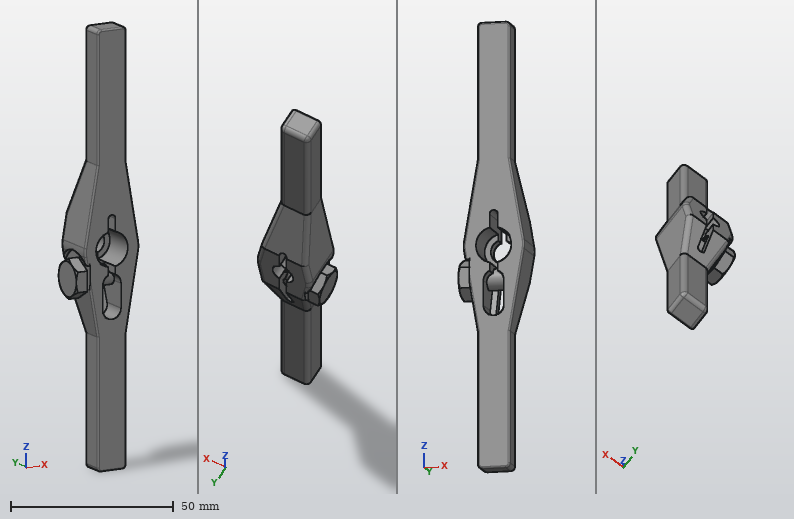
import cadquery as cq
import math

length = 139.7
bar_width = 10.2
bar_thickness = 8.4
hub_width = 19.3
hub_thickness = 15.2
hub_reach = 27.1
hub_flat_reach = 9.5
hub_crown_radius = 8.4
corner_radius = 1.4
back_fillet = 1.7
front_fillet = 0.5

bore_radius = 3.6
counterbore_radius = 5.6
counterbore_depth = 11.2

slot_width = 2.5
slot_top = 10.9
slot_bottom = -22.1
pocket_width = 6.4
pocket_top = -7.8
pocket_wall = 2.8

bolt_y = 7.3
bolt_z = -hub_flat_reach
shank_radius = 3.4
head_across_flats = 11.2
head_x = -11.6
seat_x = -7.7
seat_radius = 9.0
head_chamfer_height = 0.5

EXTRA = 7.0


def extrude_outline():
    """Diamond outline of the bar and hub, extruded along Y, with rounded crowns."""
    half_bar = bar_width / 2
    half_length = length / 2
    taper_angle = math.atan((hub_width - bar_width) / 2 / hub_reach)
    crown_loss = hub_crown_radius * (1 / math.cos(taper_angle) - 1)
    apex = hub_width / 2 + crown_loss
    crown_edges = cq.selectors.BoxSelector(
        (-hub_width, 0, -EXTRA), (hub_width, hub_thickness, EXTRA)
    )
    return (
        cq.Workplane("XZ")
        .polyline([
            (half_bar, half_length), (half_bar, hub_reach), (apex, 0),
            (half_bar, -hub_reach), (half_bar, -half_length),
            (-half_bar, -half_length), (-half_bar, -hub_reach), (-apex, 0),
            (-half_bar, hub_reach), (-half_bar, half_length),
        ])
        .close()
        .extrude(-hub_thickness)
        .edges("|Y").edges(crown_edges).fillet(hub_crown_radius)
    )


def extrude_profile():
    """Side profile with the sloping back of the hub, extruded along X."""
    half_length = length / 2
    return (
        cq.Workplane("YZ")
        .polyline([
            (0, half_length), (bar_thickness, half_length), (bar_thickness, hub_reach),
            (hub_thickness, hub_flat_reach), (hub_thickness, -hub_flat_reach),
            (bar_thickness, -hub_reach), (bar_thickness, -half_length), (0, -half_length),
        ])
        .close()
        .extrude(hub_width, both=True)
    )


def round_edges(body):
    """Round the end corners, the rim of the back and the rim of the front."""
    body = body.faces("<Z or >Z").edges("|Y").fillet(corner_radius)
    back_faces = [face for face in body.faces("%PLANE").vals() if face.normalAt().y > 0.5]
    back_edges = [edge for face in back_faces for edge in face.Edges()]
    rim = [edge for edge in back_edges if sum(edge.isSame(other) for other in back_edges) == 1]
    rounded = body.newObject(rim).fillet(back_fillet)
    body = cq.Workplane(rounded.val().fix())
    return body.faces("<Y").edges().fillet(front_fillet)


def make_slot(width, top, bottom):
    """Round-ended slot along Z, deep enough to pass through the hub."""
    return (
        cq.Workplane("XZ", origin=(0, -EXTRA, (top + bottom) / 2))
        .slot2D(top - bottom, width, 90)
        .extrude(-(hub_thickness + 2 * EXTRA))
    )


def make_pocket():
    """Slot-shaped pocket whose floor runs parallel to the lower sloping back face."""
    floor_at_flat = hub_thickness - pocket_wall
    floor_at_bar = bar_thickness - pocket_wall
    depth_limit = (
        cq.Workplane("YZ")
        .polyline([
            (-EXTRA, 0), (floor_at_flat, 0), (floor_at_flat, -hub_flat_reach),
            (floor_at_bar, -hub_reach), (-EXTRA, -hub_reach),
        ])
        .close()
        .extrude(pocket_width, both=True)
    )
    return make_slot(pocket_width, pocket_top, slot_bottom).intersect(depth_limit)


def cylinder_along_y(radius, depth):
    return cq.Workplane("XZ").circle(radius).extrude(-depth)


def bolt_plane(x):
    """Workplane square to the bolt axis at the given X."""
    return cq.Workplane("YZ", origin=(x, bolt_y, bolt_z))


def make_bolt():
    """Hexagonal head with chamfered outer corners, plus a shank ending inside the far wall."""
    head_height = seat_x - head_x
    across_corners = head_across_flats / math.cos(math.pi / 6)
    head = (
        bolt_plane(head_x)
        .transformed(rotate=(0, 0, 30))
        .polygon(6, across_corners)
        .extrude(head_height)
    )
    chamfer_width = (across_corners - head_across_flats) / 2
    chamfer_envelope = (
        bolt_plane(head_x)
        .circle(across_corners / 2)
        .extrude(head_height)
        .faces("<X").chamfer(head_chamfer_height, chamfer_width)
    )
    shank = bolt_plane(seat_x).circle(shank_radius).extrude(pocket_width - seat_x)
    return head.intersect(chamfer_envelope).union(shank)


body = round_edges(extrude_outline().intersect(extrude_profile()))
bolt_seat = bolt_plane(seat_x).circle(seat_radius).extrude(-EXTRA)
cutters = [
    bolt_seat,
    cylinder_along_y(bore_radius, hub_thickness),
    cylinder_along_y(counterbore_radius, counterbore_depth),
    make_slot(slot_width, slot_top, slot_bottom),
    make_pocket(),
]
for cutter in cutters:
    body = body.cut(cutter)

result = body.union(make_bolt())